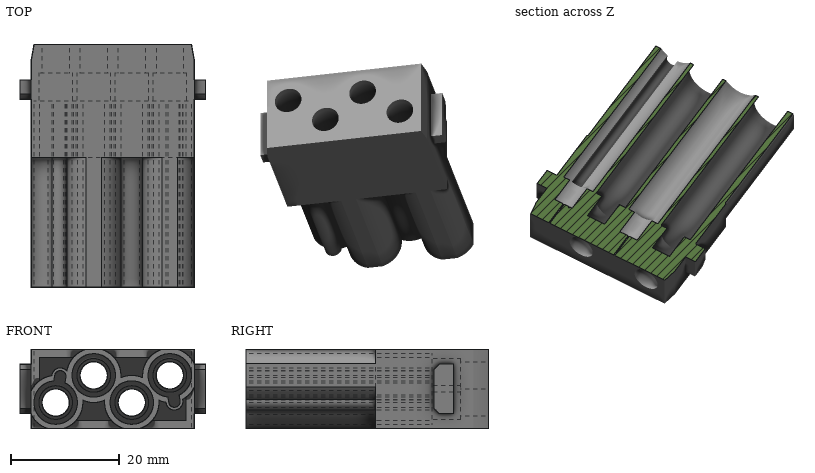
import cadquery as cq
import math

TOTAL_LENGTH = 44.7
BODY_WIDTH = 30.0
BODY_HEIGHT = 14.6
TUBE_LENGTH = 23.9
BODY_LENGTH = TOTAL_LENGTH - TUBE_LENGTH

FRONT_Y = 0.0
BODY_FRONT_Y = FRONT_Y + TUBE_LENGTH
REAR_Y = FRONT_Y + TOTAL_LENGTH

REAR_TAPER_LENGTH = 2.8
REAR_TAPER_DEPTH = 0.5

RIM_THICKNESS = 1.5
RECESS_DEPTH = BODY_LENGTH / 2

TUBE_PITCH = 7.0
TUBE_OFFSET_Z = 2.5
TUBE_COUNT = 4
TUBE_DIAMETER = 10.0

MOUTH_DIAMETER = 8.0
SEAT_DIAMETER = 6.2
THROUGH_DIAMETER = 5.0
MOUTH_DEPTH = TUBE_LENGTH + RECESS_DEPTH
SEAT_DEPTH = (MOUTH_DEPTH + TOTAL_LENGTH) / 2

KEY_LEAN_ANGLE = 10.0
KEY_CENTRE_RADIUS = 4.9
KEYWAY_WIDTH = 2.1
KEY_WALL = 0.5

OVERALL_WIDTH = 34.2
TAB_LENGTH = 3.6
TAB_HEIGHT = 9.1
TAB_CHAMFER = 1.0
TAB_REAR_SETBACK = 6.5


def tube_centres():
    """Tube axes as (x, z), from left to right."""
    first_x = -TUBE_PITCH * (TUBE_COUNT - 1) / 2
    centres = []
    for index in range(TUBE_COUNT):
        side = -1 if index % 2 == 0 else 1
        centres.append((first_x + index * TUBE_PITCH, side * TUBE_OFFSET_Z))
    return centres


def block(width, height, y_start, y_end):
    """Box centred on the Y axis between two Y positions."""
    length = y_end - y_start
    return cq.Workplane("XY").box(width, length, height).translate((0, y_start + length / 2, 0))


def rods(centres, diameter, y_start, y_end):
    """Cylinders along Y on the given axes."""
    plane = cq.Workplane("XZ", origin=(0, y_start, 0))
    return plane.pushPoints(centres).circle(diameter / 2).extrude(y_start - y_end)


def key_bars(width, y_start, y_end):
    """Round-ended bars running from the outermost tube axes out to the key position."""
    lean = math.radians(KEY_LEAN_ANGLE)
    offset_x = KEY_CENTRE_RADIUS / 2 * math.sin(lean)
    offset_z = KEY_CENTRE_RADIUS / 2 * math.cos(lean)
    bar_length = KEY_CENTRE_RADIUS + width
    left_tube, *_, right_tube = tube_centres()
    plane = cq.Workplane("XZ", origin=(0, y_start, 0))

    bars = cq.Workplane("XY")
    for (centre_x, centre_z), vertical in ((left_tube, 1), (right_tube, -1)):
        bar = (
            plane.center(centre_x + offset_x, centre_z + vertical * offset_z)
            .slot2D(bar_length, width, vertical * (90 - KEY_LEAN_ANGLE))
            .extrude(y_start - y_end)
        )
        bars = bars.add(bar)
    return bars.combine()


def make_body():
    """Tapered block with a recess in its front face."""
    half_width = BODY_WIDTH / 2
    rear_half_width = half_width - REAR_TAPER_DEPTH
    taper_y = REAR_Y - REAR_TAPER_LENGTH
    outline = [
        (-half_width, BODY_FRONT_Y),
        (half_width, BODY_FRONT_Y),
        (half_width, taper_y),
        (rear_half_width, REAR_Y),
        (-rear_half_width, REAR_Y),
        (-half_width, taper_y),
    ]
    body = cq.Workplane("XY").polyline(outline).close().extrude(BODY_HEIGHT / 2, both=True)
    recess = block(
        BODY_WIDTH - 2 * RIM_THICKNESS,
        BODY_HEIGHT - 2 * RIM_THICKNESS,
        BODY_FRONT_Y,
        BODY_FRONT_Y + RECESS_DEPTH,
    )
    return body.cut(recess)


def make_tubes():
    """Solid tubes with key ridges, flattened where they meet the body's outer planes."""
    root_y = BODY_FRONT_Y + RECESS_DEPTH
    tubes = rods(tube_centres(), TUBE_DIAMETER, FRONT_Y, root_y)
    ridges = key_bars(KEYWAY_WIDTH + 2 * KEY_WALL, FRONT_Y, root_y)
    envelope = block(BODY_WIDTH, BODY_HEIGHT, FRONT_Y, root_y)
    return tubes.union(ridges).intersect(envelope)


def make_bores():
    """Stepped bores along every tube axis, with the keyways."""
    centres = tube_centres()
    mouths = rods(centres, MOUTH_DIAMETER, FRONT_Y, FRONT_Y + MOUTH_DEPTH)
    seats = rods(centres, SEAT_DIAMETER, FRONT_Y, FRONT_Y + SEAT_DEPTH)
    holes = rods(centres, THROUGH_DIAMETER, FRONT_Y, REAR_Y)
    keyways = key_bars(KEYWAY_WIDTH, FRONT_Y, FRONT_Y + MOUTH_DEPTH)
    return mouths.union(seats).union(holes).union(keyways)


def make_tabs():
    """One bar across the body whose ends form both latch tabs."""
    tab_rear_y = REAR_Y - TAB_REAR_SETBACK
    return (
        block(OVERALL_WIDTH, TAB_HEIGHT, tab_rear_y - TAB_LENGTH, tab_rear_y)
        .edges("|X and <Y")
        .chamfer(TAB_CHAMFER)
    )


result = make_body().union(make_tabs()).union(make_tubes()).cut(make_bores())